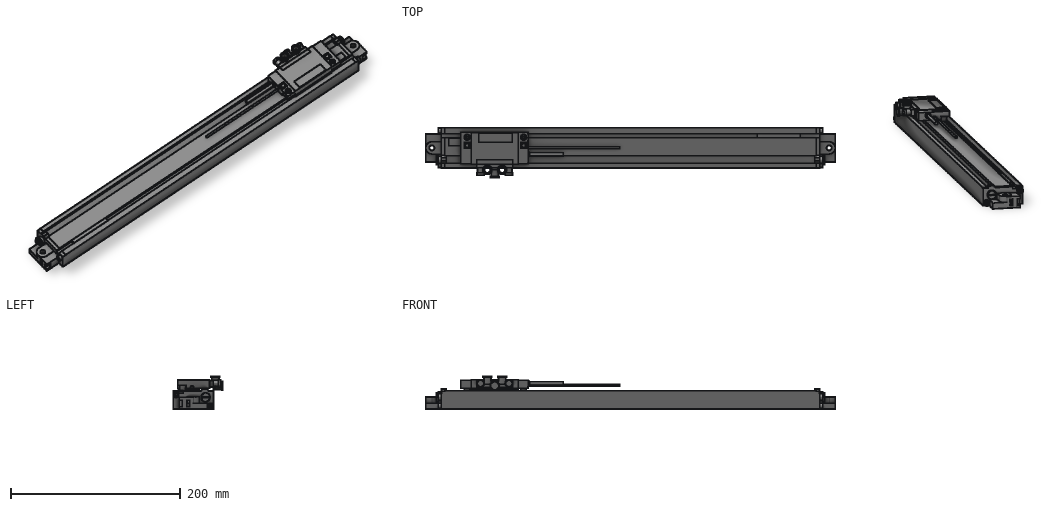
import cadquery as cq

OVERALL_LENGTH = 484.0
OVERALL_WIDTH = 59.0
HOUSING_LENGTH = 447.0
HOUSING_WIDTH = 48.0
HOUSING_HEIGHT = 22.0
CAP_THICKNESS = 4.5
CAP_DROP = 0.5
RAIL_LENGTH = HOUSING_LENGTH - 2 * CAP_THICKNESS

SEAL_GROOVE_Y = (12.0, 17.0)
SEAL_GROOVE_DEPTH = 3.0
CABLE_GROOVE_Y = (-18.5, -9.0)
CABLE_GROOVE_DEPTH = 3.5
SEAL_PLUG_X = (149.5, 201.0)
SEAL_PLUG_DROP = 0.5
LABEL_RECESS_X = (-215.0, -189.0)
LABEL_RECESS_Y = (2.5, 11.0)
LABEL_DEPTH = 0.5

SADDLE_RADIUS = 5.0
SADDLE_LENGTH = 6.0
SADDLE_Y = -13.5
SADDLE_TOP = 24.5
SADDLE_SLOT_WIDTH = 4.0
SADDLE_SLOT_DEPTH = 1.0

LUG_WIDTH = 33.5
LUG_FOOT_HEIGHT = 7.5
LUG_BOSS_HEIGHT = 14.5
LUG_SHOULDER_DROP = 0.5
LUG_NOSE_RADIUS = 7.5
LUG_HOLE_RADIUS = 3.0
LUG_HOLE_X = OVERALL_LENGTH / 2 - LUG_NOSE_RADIUS
LUG_SLOT_Y = 4.5
LUG_SLOT_Z = (3.0, 10.5)
LUG_SLOT_DEPTH = 6.0
LUG_POST_Y = (7.7, 13.0)

PLUG_Y = -14.5
PLUG_Z = 14.0
PLUG_RADIUS = 5.5
PLUG_NECK_RADIUS = 4.5
PLUG_STEP = 2.0
PLUG_SLOT_WIDTH = 1.0
PLUG_SLOT_DEPTH = 0.5
SCREW_RADIUS = 3.5
SCREW_LENGTH = 4.0
SCREW_SOCKET_RADIUS = 1.5
SCREW_SOCKET_DEPTH = 2.0
SCREW_PLACES = [(20.5, 17.0), (-20.5, 4.0)]

HEAD_X = (-201.0, -121.0)
HEAD_Y = (-19.5, 18.5)
HEAD_BOTTOM = 24.5
HEAD_TOP = 35.0
HEAD_CENTRE_X = (-188.5, -132.5)
END_BLOCK_INSET = 0.5
FOOT_Y = (11.0, 18.0)
SLIDER_Y = (-7.5, 9.5)
SLIDER_BOTTOM = 23.0
COVER_X = (-179.5, -140.0)
COVER_Y = (7.0, 17.5)
COVER_DEPTH = 0.5
LEDGE_Y = -14.0
END_NOTCH_Y = 8.0
END_NOTCH_TOP = 28.0
WIRE_PORT_Y = 1.5
WIRE_PORT_Z = 25.5
WIRE_PORT_RADIUS = 2.0
WIRE_PORT_DEPTH = 5.0
HEAD_SCREW_X = (-193.0, -126.5)
HEAD_SCREW_Y = 12.5
HEAD_SCREW_RADIUS = 3.5
HEAD_SCREW_SOCKET_RADIUS = 1.5
HEAD_SCREW_DEPTH = 2.5
HEAD_SHANK_RADIUS = 3.5
POCKET_Y = 3.0
POCKET_SIZE = 7.5
POCKET_DEPTH = 3.0
POCKET_SCREW_RADIUS = 2.5

MANIFOLD_X = (-181.5, -139.5)
MANIFOLD_Y = (-23.5, HEAD_Y[0])
MANIFOLD_Z = (26.0, 34.0)
FITTING_RADIUS = 4.5
FLANGE_RADIUS = 5.5
FLANGE_THICKNESS = 1.5
FITTING_BORE_RADIUS = 3.5
MANIFOLD_MID_X = sum(MANIFOLD_X) / 2
UPRIGHT_SPACING = 17.5
UPRIGHT_Y = -26.0
UPRIGHT_BOTTOM = 29.5
UPRIGHT_TOP = 39.0
FRONT_FITTING_Z = 27.5
FRONT_FITTING_END_Y = HOUSING_WIDTH / 2 - OVERALL_WIDTH
FRONT_COLLAR_RADIUS = 5.0
FRONT_COLLAR_LENGTH = 2.5
SIDE_PLUG_SPACING = 33.5
SIDE_PLUG_Z = 30.5
SIDE_PLUG_RADIUS = 4.0
SIDE_PLUG_END_Y = -32.5
SIDE_PLUG_HEAD_RADIUS = 4.5
SIDE_PLUG_HEAD_LENGTH = 3.0

CABLE_Y = -7.7
CABLE_Z = 30.5
CABLE_RADIUS = 2.0
CABLE_END_X = -79.5
GLAND_RADIUS = 3.5
GLAND_LENGTH = 2.0
WIRE_Y = 0.25
WIRE_Z = 28.0
WIRE_RADIUS = 1.2
WIRE_END_X = -12.5


def box(x_range, y_range, z_range):
    """Box between the two limits given for each axis."""
    size = [high - low for low, high in (x_range, y_range, z_range)]
    return (
        cq.Workplane("XY")
        .box(*size, centered=False)
        .translate((x_range[0], y_range[0], z_range[0]))
    )


def rod(start, direction, radius, length):
    """Round bar from a start point along a direction."""
    return cq.Workplane(
        cq.Solid.makeCylinder(radius, length, cq.Vector(*start), cq.Vector(*direction))
    )


def make_rail():
    half = RAIL_LENGTH / 2
    half_width = HOUSING_WIDTH / 2
    along = (-half, half)
    rail = box(along, (-half_width, half_width), (0, HOUSING_HEIGHT))
    rail = rail.cut(box(along, SEAL_GROOVE_Y, (HOUSING_HEIGHT - SEAL_GROOVE_DEPTH, HOUSING_HEIGHT)))
    rail = rail.cut(box(along, CABLE_GROOVE_Y, (HOUSING_HEIGHT - CABLE_GROOVE_DEPTH, HOUSING_HEIGHT)))
    rail = rail.cut(box(LABEL_RECESS_X, LABEL_RECESS_Y, (HOUSING_HEIGHT - LABEL_DEPTH, HOUSING_HEIGHT)))
    seal_plug_z = (HOUSING_HEIGHT - SEAL_GROOVE_DEPTH, HOUSING_HEIGHT - SEAL_PLUG_DROP)
    return rail.union(box(SEAL_PLUG_X, SEAL_GROOVE_Y, seal_plug_z))


def make_lug():
    """Mounting lug at the +X end, with a round-nosed boss and a slot at its +Y corner."""
    end = OVERALL_LENGTH / 2
    cap_face = HOUSING_LENGTH / 2
    half_width = LUG_WIDTH / 2
    along = (cap_face, end)
    lug = box(along, (-half_width, half_width), (0, LUG_FOOT_HEIGHT))
    lug = lug.union(box(along, (0, half_width), (0, LUG_BOSS_HEIGHT - LUG_SHOULDER_DROP)))
    slot_x = (end - LUG_SLOT_DEPTH, end)
    lug = lug.cut(box(slot_x, (LUG_SLOT_Y, half_width), LUG_SLOT_Z))
    lug = lug.union(box(slot_x, LUG_POST_Y, LUG_SLOT_Z))
    nose_y = (-LUG_NOSE_RADIUS, LUG_NOSE_RADIUS)
    boss = box((cap_face, LUG_HOLE_X), nose_y, (LUG_FOOT_HEIGHT, LUG_BOSS_HEIGHT))
    nose_height = LUG_BOSS_HEIGHT - LUG_FOOT_HEIGHT
    boss = boss.union(rod((LUG_HOLE_X, 0, LUG_FOOT_HEIGHT), (0, 0, 1), LUG_NOSE_RADIUS, nose_height))
    return lug.union(boss).cut(rod((LUG_HOLE_X, 0, 0), (0, 0, 1), LUG_HOLE_RADIUS, LUG_BOSS_HEIGHT))


def make_connector_plug(cap_face):
    """Round plug on the cap face, with a narrower neck and a slotted disc."""
    outward = (1, 0, 0)
    neck_length = 2 * PLUG_STEP
    disc_x = cap_face + neck_length
    neck = rod((cap_face, PLUG_Y, PLUG_Z), outward, PLUG_NECK_RADIUS, neck_length)
    disc = rod((disc_x, PLUG_Y, PLUG_Z), outward, PLUG_RADIUS, PLUG_STEP)
    slot_x = (disc_x + PLUG_STEP - PLUG_SLOT_DEPTH, disc_x + PLUG_STEP)
    slot_y = (PLUG_Y - PLUG_RADIUS, PLUG_Y + PLUG_RADIUS)
    slot_z = (PLUG_Z - PLUG_SLOT_WIDTH / 2, PLUG_Z + PLUG_SLOT_WIDTH / 2)
    return neck.union(disc.cut(box(slot_x, slot_y, slot_z)))


def make_end():
    """End cap at the +X end, with its lug, cable saddle, connector plug and screws."""
    cap_face = HOUSING_LENGTH / 2
    half_width = HOUSING_WIDTH / 2
    cap_top = HOUSING_HEIGHT - CAP_DROP
    cap_x = (cap_face - CAP_THICKNESS, cap_face)
    end = box(cap_x, (-half_width, half_width), (0, cap_top))
    end = end.cut(box(cap_x, SEAL_GROOVE_Y, (HOUSING_HEIGHT - SEAL_GROOVE_DEPTH, HOUSING_HEIGHT)))
    saddle_start = (cap_face - SADDLE_LENGTH, SADDLE_Y, SADDLE_TOP - SADDLE_RADIUS)
    outward = (1, 0, 0)
    end = end.union(rod(saddle_start, outward, SADDLE_RADIUS, SADDLE_LENGTH))
    slot_y = (SADDLE_Y - SADDLE_SLOT_WIDTH / 2, SADDLE_Y + SADDLE_SLOT_WIDTH / 2)
    slot_x = (cap_face - SADDLE_LENGTH, cap_face)
    end = end.cut(box(slot_x, slot_y, (SADDLE_TOP - SADDLE_SLOT_DEPTH, SADDLE_TOP)))
    end = end.union(make_lug())
    end = end.union(make_connector_plug(cap_face))
    for y, z in SCREW_PLACES:
        screw = rod((cap_face, y, z), outward, SCREW_RADIUS, SCREW_LENGTH)
        socket_start = (cap_face + SCREW_LENGTH - SCREW_SOCKET_DEPTH, y, z)
        end = end.union(screw.cut(rod(socket_start, outward, SCREW_SOCKET_RADIUS, SCREW_SOCKET_DEPTH)))
    return end


def make_housing():
    end = make_end()
    return make_rail().union(end).union(end.mirror("YZ"))


def make_head_block():
    """Centre block with recessed end blocks, the foot on the rail and the slider plate."""
    inner_y = (HEAD_Y[0] + END_BLOCK_INSET, HEAD_Y[1])
    head = box(HEAD_X, inner_y, (HEAD_BOTTOM, HEAD_TOP - END_BLOCK_INSET))
    head = head.union(box(HEAD_CENTRE_X, HEAD_Y, (HEAD_BOTTOM, HEAD_TOP)))
    head = head.union(box(HEAD_CENTRE_X, FOOT_Y, (HOUSING_HEIGHT, HEAD_BOTTOM)))
    head = head.union(box(HEAD_CENTRE_X, SLIDER_Y, (SLIDER_BOTTOM, HEAD_BOTTOM)))
    recess_z = (HEAD_TOP - COVER_DEPTH, HEAD_TOP)
    head = head.cut(box(COVER_X, COVER_Y, recess_z))
    head = head.cut(box(MANIFOLD_X, (HEAD_Y[0], LEDGE_Y), recess_z))
    for notch_x in ((HEAD_X[0], HEAD_CENTRE_X[0]), (HEAD_CENTRE_X[1], HEAD_X[1])):
        head = head.cut(box(notch_x, (END_NOTCH_Y, HEAD_Y[1]), (HEAD_BOTTOM, END_NOTCH_TOP)))
    port_start = (HEAD_X[0], WIRE_PORT_Y, WIRE_PORT_Z)
    return head.cut(rod(port_start, (1, 0, 0), WIRE_PORT_RADIUS, WIRE_PORT_DEPTH))


def add_head_screws(head):
    """Sunk screw with its shank below, and a square screw pocket, in each end block."""
    top = HEAD_TOP - END_BLOCK_INSET
    down = (0, 0, -1)
    half = POCKET_SIZE / 2
    pocket_y = (POCKET_Y - half, POCKET_Y + half)
    for x in HEAD_SCREW_X:
        hole = rod((x, HEAD_SCREW_Y, top), down, HEAD_SCREW_RADIUS, HEAD_SCREW_DEPTH)
        socket = rod((x, HEAD_SCREW_Y, top), down, HEAD_SCREW_SOCKET_RADIUS, 2 * HEAD_SCREW_DEPTH)
        pocket = box((x - half, x + half), pocket_y, (top - POCKET_DEPTH, top))
        pocket = pocket.cut(rod((x, POCKET_Y, top), down, POCKET_SCREW_RADIUS, POCKET_DEPTH))
        shank_start = (x, HEAD_SCREW_Y, END_NOTCH_TOP)
        shank = rod(shank_start, down, HEAD_SHANK_RADIUS, END_NOTCH_TOP - HOUSING_HEIGHT)
        head = head.union(shank)
        head = head.cut(hole).cut(socket).cut(pocket)
    return head


def make_flanged_fitting(start, direction, length):
    """Round fitting with a wider flange at its far end."""
    body = rod(start, direction, FITTING_RADIUS, length)
    flange_offset = length - FLANGE_THICKNESS
    flange_start = [s + d * flange_offset for s, d in zip(start, direction)]
    return body.union(rod(flange_start, direction, FLANGE_RADIUS, FLANGE_THICKNESS))


def make_manifold():
    """Bar on the head's -Y face with two bored uprights, a front fitting and two side plugs."""
    manifold = box(MANIFOLD_X, MANIFOLD_Y, MANIFOLD_Z)
    forward = (0, -1, 0)
    front_y = MANIFOLD_Y[0]
    front_length = front_y - FRONT_FITTING_END_Y
    front_start = (MANIFOLD_MID_X, front_y, FRONT_FITTING_Z)
    manifold = manifold.union(make_flanged_fitting(front_start, forward, front_length))
    manifold = manifold.union(rod(front_start, forward, FRONT_COLLAR_RADIUS, FRONT_COLLAR_LENGTH))
    upright_length = UPRIGHT_TOP - UPRIGHT_BOTTOM
    for side in (-1, 1):
        plug_x = MANIFOLD_MID_X + side * SIDE_PLUG_SPACING / 2
        plug_start = (plug_x, front_y, SIDE_PLUG_Z)
        head_start = (plug_x, SIDE_PLUG_END_Y + SIDE_PLUG_HEAD_LENGTH, SIDE_PLUG_Z)
        plug = rod(plug_start, forward, SIDE_PLUG_RADIUS, front_y - SIDE_PLUG_END_Y)
        plug = plug.union(rod(head_start, forward, SIDE_PLUG_HEAD_RADIUS, SIDE_PLUG_HEAD_LENGTH))
        manifold = manifold.union(plug)
    for side in (-1, 1):
        start = (MANIFOLD_MID_X + side * UPRIGHT_SPACING / 2, UPRIGHT_Y, UPRIGHT_BOTTOM)
        manifold = manifold.union(make_flanged_fitting(start, (0, 0, 1), upright_length))
        manifold = manifold.cut(rod(start, (0, 0, 1), FITTING_BORE_RADIUS, upright_length))
    return manifold


def make_cables():
    """Sheathed cable with its tapered gland, and the thin wire beside it."""
    outward = (1, 0, 0)
    start_x = HEAD_X[1]
    gland = cq.Workplane(
        cq.Solid.makeCone(
            GLAND_RADIUS,
            CABLE_RADIUS,
            GLAND_LENGTH,
            cq.Vector(start_x, CABLE_Y, CABLE_Z),
            cq.Vector(*outward),
        )
    )
    cable = rod((start_x, CABLE_Y, CABLE_Z), outward, CABLE_RADIUS, CABLE_END_X - start_x)
    wire = rod((start_x, WIRE_Y, WIRE_Z), outward, WIRE_RADIUS, WIRE_END_X - start_x)
    return gland, cable, wire


def make_reading_head():
    head = add_head_screws(make_head_block()).union(make_manifold())
    for part in make_cables():
        head = head.union(part)
    return head


housing = make_housing()
reading_head = make_reading_head()
result = cq.Compound.makeCompound([housing.val(), reading_head.val()])